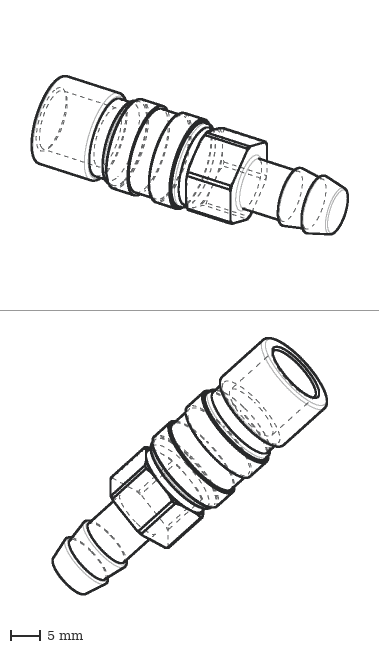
import cadquery as cq
import math

total_length = 55.05
socket_end = 10.85
front_collar_start = 13.45
front_ring_start = 14.55
front_ring_end = 18.7
rear_ring_start = 22.75
rear_ring_end = 26.9
rear_collar_end = 28.0
hex_start = 29.4
hex_end = 38.0
first_barb_start = 46.0
second_barb_start = 50.55

socket_diameter = 15.8
neck_diameter = 14.0
collar_diameter = 15.1
ring_diameter = 16.15
stem_diameter = 9.05
barb_diameter = 10.55
tip_diameter = 8.25
bore_diameter = 10.55
bore_mouth_diameter = 11.4

hex_across_flats = neck_diameter
hex_corner_diameter = 15.75

socket_rounding = 0.5
collar_rounding = (collar_diameter - neck_diameter) / 2
ring_chamfer = 0.15
hex_front_chamfer_length = 0.3
hex_front_chamfer_height = 0.5
hex_rear_chamfer = 0.15
stem_fillet = 0.5
barb_rounding = 0.35
bore_depth = socket_end


def cylinder(start, end, diameter):
    """Solid cylinder on the X axis between two stations."""
    return cq.Workplane("YZ").workplane(offset=start).circle(diameter / 2).extrude(end - start)


def revolve_about_x(profile):
    """Solid of revolution about the X axis from (station, radius) points."""
    return cq.Workplane("XY").polyline(profile).close().revolve(360, (0, 0, 0), (1, 0, 0))


def make_socket():
    """Plain front cylinder, rounded at both ends."""
    return cylinder(0, socket_end, socket_diameter).edges().fillet(socket_rounding)


def make_grip():
    """Necks, collars and the two raised rings between socket and hexagon."""
    neck = cylinder(socket_end - socket_rounding, hex_start, neck_diameter)
    collar = cylinder(front_collar_start, rear_collar_end, collar_diameter).edges().fillet(collar_rounding)
    grip = neck.union(collar)
    front_ring = cylinder(front_ring_start, front_ring_end, ring_diameter)
    front_ring = front_ring.faces("<X").edges().chamfer(ring_chamfer)
    rear_ring = cylinder(rear_ring_start, rear_ring_end, ring_diameter).edges().chamfer(ring_chamfer)
    return grip.union(front_ring).union(rear_ring)


def make_hexagon():
    """Spanner hexagon with flats facing +Y and -Y and turned-down corners."""
    across_corners = hex_across_flats / math.cos(math.pi / 6)
    prism = (
        cq.Workplane("YZ")
        .workplane(offset=hex_start)
        .transformed(rotate=(0, 0, 90))
        .polygon(6, across_corners)
        .extrude(hex_end - hex_start)
    )
    corner_radius = hex_corner_diameter / 2
    envelope = revolve_about_x(
        [
            (hex_start, 0),
            (hex_start, corner_radius - hex_front_chamfer_height),
            (hex_start + hex_front_chamfer_length, corner_radius),
            (hex_end - hex_rear_chamfer, corner_radius),
            (hex_end, corner_radius - hex_rear_chamfer),
            (hex_end, 0),
        ]
    )
    return prism.intersect(envelope)


def make_barb(start, end, end_diameter):
    """Hose barb tapering towards +X, with a rounded leading rim."""
    barb = revolve_about_x([(start, 0), (start, barb_diameter / 2), (end, end_diameter / 2), (end, 0)])
    return barb.faces("<X").edges().fillet(barb_rounding)


def make_hose_tail():
    """Stem with a filleted root and two barbs, the last one rounded at its tip."""
    root_radius = stem_diameter / 2 + stem_fillet
    root = (
        cq.Workplane("XY")
        .moveTo(hex_end, 0)
        .lineTo(hex_end, root_radius)
        .radiusArc((hex_end + stem_fillet, stem_diameter / 2), -stem_fillet)
        .lineTo(hex_end + stem_fillet, 0)
        .close()
        .revolve(360, (0, 0, 0), (1, 0, 0))
    )
    stem = cylinder(hex_end, second_barb_start, stem_diameter)
    first_barb = make_barb(first_barb_start, second_barb_start, stem_diameter)
    last_barb = make_barb(second_barb_start, total_length, tip_diameter)
    last_barb = last_barb.faces(">X").edges().fillet(barb_rounding)
    return stem.union(root).union(first_barb).union(last_barb)


def make_bore():
    """Blind socket bore with a 45 degree mouth chamfer."""
    mouth_depth = (bore_mouth_diameter - bore_diameter) / 2
    return revolve_about_x(
        [
            (0, 0),
            (0, bore_mouth_diameter / 2),
            (mouth_depth, bore_diameter / 2),
            (bore_depth, bore_diameter / 2),
            (bore_depth, 0),
        ]
    )


body = make_socket().union(make_grip()).union(make_hexagon()).union(make_hose_tail())
result = body.cut(make_bore())